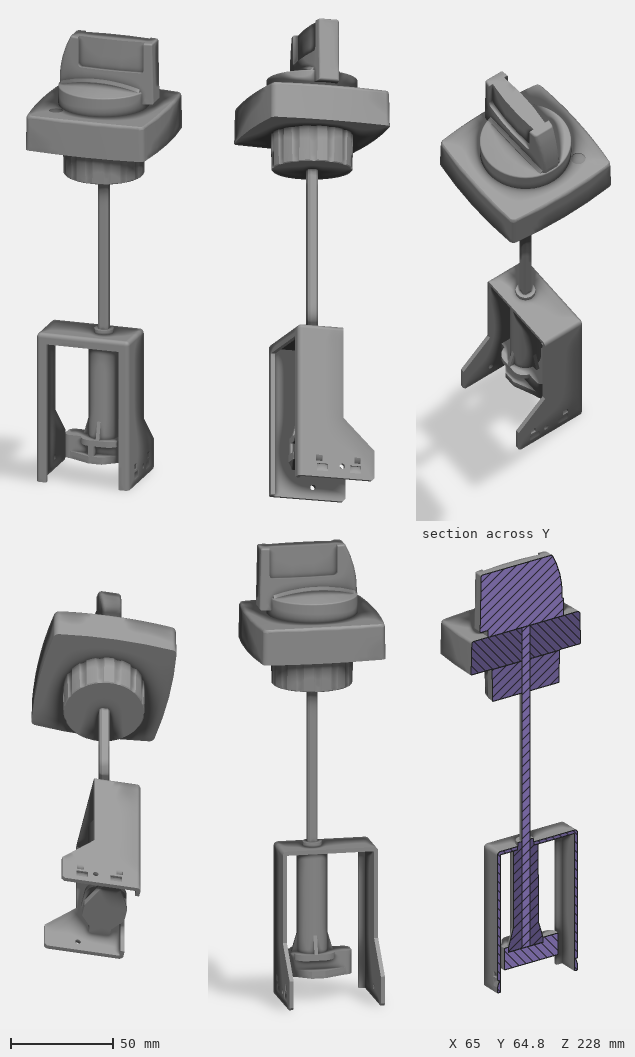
import cadquery as cq
import math

BRACKET_TOP = 76.2
PLATE_BOTTOM = 175.5
PLATE_TOP = 193.5
OVERALL_HEIGHT = 228.0

ROD_WIDTH = 5.0
ROD_CHAMFER = 1.0

SHEET = 2.0
BEND_RADIUS = 2.0
BRACKET_LEFT = -30.8
BRACKET_RIGHT = 16.9
BRACKET_FRONT = -12.5
BRACKET_BACK = 10.7
FOOT_BACK = 26.7
FOOT_TOP = 14.8
FOOT_SLOPE_TOP = 30.3
FOOT_CHAMFER = 1.4
LIP_WIDTH = 5.2
FIXING_HOLE_DIAMETER = 2.7
FIXING_HOLE_Y = 10.0
FIXING_HOLE_Z = 6.0
WIDE_CATCH = (5.7, 3.6)
WIDE_CATCH_Z = 4.8
WIDE_CATCH_DEPTH = 1.1
WIDE_CATCH_Y = (16.9, -0.2)
SMALL_CATCH = (3.2, 3.0)
SMALL_CATCH_Z = 9.3
SMALL_CATCH_DEPTH = 1.8
SMALL_CATCH_Y = (17.8, -1.8)

TUBE_RADIUS = 7.5
NECK_RADIUS = 4.8
NECK_TOP = 78.2
FLANGE_WIDTH = 20.5
FLANGE_CORNER_RADIUS = 6.4
FLANGE_BOTTOM = 20.3
FLANGE_TOP = 23.3
GUSSET_TOP = 32.4
GUSSET_THICKNESS = 1.8

LEVER_BOTTOM = 11.5
LEDGE_TOP = 15.0
LEVER_LEFT = -19.2
LEVER_RIGHT = 12.8
ARM_HALF_WIDTH = 5.2
ARM_END_RADIUS = 3.5
LEDGE_HALF_DEPTH = 10.5
LEDGE_LEFT = -15.7
LEDGE_FLAT_LEFT = -4.5
LEDGE_FLAT_RIGHT = 2.3
LEDGE_RIGHT = 9.0
STRUT_X = -3.5
STRUT_THICKNESS = 2.7

NUT_RADIUS = 20.0
NUT_BOTTOM = 158.0
NUT_DRAFT = 0.8
NUT_EDGE = 0.5
FLUTE_COUNT = 14
FLUTE_DEPTH = 0.8
FIRST_FLUTE_ANGLE = 9.4

PLATE_X = 65.0
PLATE_Y = 64.8
PLATE_BOW = 2.0
PLATE_CORNER_RADIUS = 2.7
PLATE_DRAFT_INSET = 0.35
PLATE_EDGE = 1.8
DIAL_RADIUS = 29.5
CORNER_DROP = 0.5
DOT_RADIUS = 3.5
DOT_DEPTH = 0.5
DOT_CENTRE = (-18.5, -18.5)

KNOB_RADIUS = 22.3
KNOB_SHOULDER = 203.0
DOME_RISE = 3.5
KNOB_EDGE = 0.7
GRIP_BACK = 27.1
GRIP_BACK_TOP = 26.5
GRIP_UNDERSIDE = 197.0
GRIP_NOSE = -21.7
GRIP_NOSE_BASE = 204.7
GRIP_NOSE_MIDDLE = (-19.5, 218.7)
GRIP_NOSE_TOP = -15.5
GRIP_HALF_WIDTH = 6.8
GRIP_NOSE_HALF_WIDTH = 4.5
GRIP_BACK_HALF_WIDTH = 5.0
GRIP_EDGE = 1.0
GRIP_NOSE_EDGE = 1.8
GRIP_ROOT = 1.5
ROOT_REACH = 20.5
ROOT_END_RISE = 1.5
POCKET_LEFT = -11.5
POCKET_RIGHT = 22.3
POCKET_BOTTOM = 212.7
POCKET_CORNER_RADIUS = 1.8
POCKET_END_HALF_WEB = 3.5
POCKET_MIDDLE_HALF_WEB = 4.5


def cylinder(radius, bottom, top):
    return cq.Workplane("XY").workplane(offset=bottom).circle(radius).extrude(top - bottom)


def block(x_range, y_range, z_range):
    """Box between pairs of coordinates."""
    size = [high - low for low, high in (x_range, y_range, z_range)]
    corner = (x_range[0], y_range[0], z_range[0])
    return cq.Workplane("XY").box(*size, centered=False).translate(corner)


def make_rod():
    return (
        cq.Workplane("XY")
        .workplane(offset=FLANGE_BOTTOM)
        .rect(ROD_WIDTH, ROD_WIDTH)
        .extrude(PLATE_TOP - FLANGE_BOTTOM)
        .edges("|Z")
        .chamfer(ROD_CHAMFER)
    )


def make_flange():
    """Rounded square foot of the guide tube, also the shape of its seat in the lever."""
    return (
        cq.Workplane("XY")
        .workplane(offset=FLANGE_BOTTOM)
        .rect(FLANGE_WIDTH, FLANGE_WIDTH)
        .extrude(FLANGE_TOP - FLANGE_BOTTOM)
        .edges("|Z")
        .fillet(FLANGE_CORNER_RADIUS)
    )


def ramp_recess(centre_y, centre_z, size, depth, deep_at_top):
    """Wedge that sinks into the left wall, deepest at its upper or lower edge."""
    width, height = size
    bottom = centre_z - height / 2
    top = centre_z + height / 2
    deep_z = top if deep_at_top else bottom
    return (
        cq.Workplane("XZ", origin=(0, centre_y + width / 2, 0))
        .polyline([(BRACKET_LEFT, bottom), (BRACKET_LEFT, top), (BRACKET_LEFT + depth, deep_z)])
        .close()
        .extrude(width)
    )


def make_bracket():
    side_outline = [
        (BRACKET_FRONT, 0),
        (BRACKET_FRONT, BRACKET_TOP),
        (BRACKET_BACK, BRACKET_TOP),
        (BRACKET_BACK, FOOT_SLOPE_TOP),
        (FOOT_BACK, FOOT_TOP),
        (FOOT_BACK, FOOT_CHAMFER),
        (FOOT_BACK - FOOT_CHAMFER, 0),
    ]
    width = BRACKET_RIGHT - BRACKET_LEFT
    bracket = (
        cq.Workplane("YZ", origin=(BRACKET_LEFT, 0, 0))
        .polyline(side_outline)
        .close()
        .extrude(width)
    )
    bends = bracket.faces("<Y").edges("|Z or >Z").add(bracket.faces(">Z").edges("|Y"))
    bracket = bends.fillet(BEND_RADIUS)

    inside = block(
        (BRACKET_LEFT + SHEET, BRACKET_RIGHT - SHEET),
        (BRACKET_FRONT + SHEET, FOOT_BACK),
        (0, BRACKET_TOP - SHEET),
    )
    opening = block(
        (BRACKET_LEFT + LIP_WIDTH, BRACKET_RIGHT - LIP_WIDTH),
        (BRACKET_FRONT, BRACKET_FRONT + SHEET),
        (0, BRACKET_TOP - LIP_WIDTH),
    )
    bracket = bracket.cut(inside).cut(opening)

    fixing_hole = (
        cq.Workplane("YZ", origin=(BRACKET_LEFT, FIXING_HOLE_Y, FIXING_HOLE_Z))
        .circle(FIXING_HOLE_DIAMETER / 2)
        .extrude(width)
    )
    bracket = bracket.cut(fixing_hole).cut(cylinder(NECK_RADIUS, BRACKET_TOP - SHEET, BRACKET_TOP))

    middle = ((BRACKET_LEFT + BRACKET_RIGHT) / 2, 0, 0)
    catches = [ramp_recess(y, WIDE_CATCH_Z, WIDE_CATCH, WIDE_CATCH_DEPTH, True) for y in WIDE_CATCH_Y]
    catches += [ramp_recess(y, SMALL_CATCH_Z, SMALL_CATCH, SMALL_CATCH_DEPTH, False) for y in SMALL_CATCH_Y]
    for catch in catches:
        bracket = bracket.cut(catch).cut(catch.mirror("YZ", middle))
    return bracket


def make_tube(rod):
    tube = make_flange().union(cylinder(TUBE_RADIUS, FLANGE_BOTTOM, BRACKET_TOP - SHEET))
    tube = tube.union(cylinder(NECK_RADIUS, FLANGE_BOTTOM, NECK_TOP))
    gusset = (
        cq.Workplane("XZ", origin=(0, GUSSET_THICKNESS / 2, 0))
        .polyline([(0, FLANGE_TOP), (FLANGE_WIDTH / 2, FLANGE_TOP), (TUBE_RADIUS, GUSSET_TOP), (0, GUSSET_TOP)])
        .close()
        .extrude(GUSSET_THICKNESS)
    )
    for angle in (0, 90, 180, 270):
        tube = tube.union(gusset.rotate((0, 0, 0), (0, 0, 1), angle))
    return tube.cut(rod)


def make_lever():
    arms = block(
        (LEVER_LEFT, LEVER_RIGHT),
        (-ARM_HALF_WIDTH, ARM_HALF_WIDTH),
        (LEVER_BOTTOM, FLANGE_TOP),
    )
    arms = arms.edges("|Z and <X").fillet(ARM_END_RADIUS)
    ledge = (
        cq.Workplane("XY")
        .workplane(offset=LEVER_BOTTOM)
        .polyline([
            (LEDGE_LEFT, -ARM_HALF_WIDTH),
            (LEDGE_FLAT_LEFT, -LEDGE_HALF_DEPTH),
            (LEDGE_FLAT_RIGHT, -LEDGE_HALF_DEPTH),
            (LEDGE_RIGHT, -ARM_HALF_WIDTH),
        ])
        .close()
        .extrude(LEDGE_TOP - LEVER_BOTTOM)
    )
    strut = block(
        (STRUT_X - STRUT_THICKNESS / 2, STRUT_X + STRUT_THICKNESS / 2),
        (-FLANGE_WIDTH / 2, -ARM_HALF_WIDTH),
        (LEVER_BOTTOM, FLANGE_BOTTOM),
    )
    lever = arms.union(strut).union(ledge).union(ledge.mirror("XZ"))
    return lever.cut(make_flange())


def make_nut(rod):
    height = PLATE_BOTTOM - NUT_BOTTOM
    nut = cq.Workplane("XY").workplane(offset=PLATE_BOTTOM).circle(NUT_RADIUS).extrude(-height, taper=NUT_DRAFT)
    nut = nut.faces("<Z").edges().chamfer(NUT_EDGE)

    half_chord = NUT_RADIUS * math.sin(math.pi / (2 * FLUTE_COUNT))
    flute_radius = (half_chord**2 + FLUTE_DEPTH**2) / (2 * FLUTE_DEPTH)
    flutes = (
        cq.Workplane("XY")
        .workplane(offset=NUT_BOTTOM)
        .polarArray(NUT_RADIUS - FLUTE_DEPTH + flute_radius, FIRST_FLUTE_ANGLE, 360, FLUTE_COUNT)
        .circle(flute_radius)
        .extrude(height)
    )
    return nut.cut(flutes).cut(rod)


def bowed_square(inset):
    """Plate outline with arced sides and round corners, drawn in by the given amount."""
    mid_x = PLATE_X / 2 - inset
    mid_y = PLATE_Y / 2 - inset
    corner_x = mid_x - PLATE_BOW
    corner_y = mid_y - PLATE_BOW
    return (
        cq.Sketch()
        .arc((-corner_x, -corner_y), (0, -mid_y), (corner_x, -corner_y))
        .arc((corner_x, -corner_y), (mid_x, 0), (corner_x, corner_y))
        .arc((corner_x, corner_y), (0, mid_y), (-corner_x, corner_y))
        .arc((-corner_x, corner_y), (-mid_x, 0), (-corner_x, -corner_y))
        .assemble()
        .vertices()
        .fillet(PLATE_CORNER_RADIUS)
    )


def make_plate(rod):
    top_outline = bowed_square(PLATE_DRAFT_INSET).moved(cq.Location(cq.Vector(0, 0, PLATE_TOP - PLATE_BOTTOM)))
    plate = (
        cq.Workplane("XY")
        .workplane(offset=PLATE_BOTTOM)
        .placeSketch(bowed_square(0), top_outline)
        .loft()
    )
    plate = plate.faces(">Z").edges().fillet(PLATE_EDGE)

    reach = math.hypot(PLATE_X, PLATE_Y) / 2
    envelope = (
        cq.Workplane("XZ")
        .polyline([
            (0, PLATE_BOTTOM),
            (reach, PLATE_BOTTOM),
            (reach, PLATE_TOP - CORNER_DROP),
            (DIAL_RADIUS, PLATE_TOP),
            (0, PLATE_TOP),
        ])
        .close()
        .revolve(360, (0, 0, 0), (0, 1, 0))
    )
    dot = cylinder(DOT_RADIUS, PLATE_TOP - DOT_DEPTH, PLATE_TOP).translate((*DOT_CENTRE, 0))
    return plate.intersect(envelope).cut(dot).cut(rod)


def make_knob_base():
    return (
        cq.Workplane("XZ")
        .moveTo(0, PLATE_TOP)
        .lineTo(KNOB_RADIUS, PLATE_TOP)
        .lineTo(KNOB_RADIUS, KNOB_SHOULDER)
        .threePointArc((KNOB_RADIUS / 2, KNOB_SHOULDER + 0.75 * DOME_RISE), (0, KNOB_SHOULDER + DOME_RISE))
        .close()
        .revolve(360, (0, 0, 0), (0, 1, 0))
        .edges(cq.NearestToPointSelector((0, 0, KNOB_SHOULDER)))
        .fillet(KNOB_EDGE)
    )


def grip_plan(widening, top):
    """Upright prism with the bowed plan of the grip, widened on each flank."""
    nose_y = GRIP_NOSE_HALF_WIDTH + widening
    middle_y = GRIP_HALF_WIDTH + widening
    back_y = GRIP_BACK_HALF_WIDTH + widening
    return (
        cq.Workplane("XY")
        .workplane(offset=GRIP_UNDERSIDE)
        .moveTo(GRIP_NOSE, -nose_y)
        .threePointArc((0, -middle_y), (GRIP_BACK, -back_y))
        .lineTo(GRIP_BACK, back_y)
        .threePointArc((0, middle_y), (GRIP_NOSE, nose_y))
        .close()
        .extrude(top - GRIP_UNDERSIDE)
    )


def make_grip():
    side = (
        cq.Workplane("XZ", origin=(0, 2 * GRIP_HALF_WIDTH, 0))
        .moveTo(GRIP_NOSE, GRIP_UNDERSIDE)
        .lineTo(GRIP_NOSE, GRIP_NOSE_BASE)
        .threePointArc(GRIP_NOSE_MIDDLE, (GRIP_NOSE_TOP, OVERALL_HEIGHT))
        .lineTo(GRIP_BACK_TOP, OVERALL_HEIGHT)
        .lineTo(GRIP_BACK, GRIP_UNDERSIDE)
        .close()
        .extrude(4 * GRIP_HALF_WIDTH)
    )
    plan = grip_plan(0, OVERALL_HEIGHT)
    grip = side.intersect(plan)
    nose_region = cq.selectors.BoxSelector(
        (GRIP_NOSE - 2.3, -GRIP_HALF_WIDTH, GRIP_UNDERSIDE),
        (GRIP_NOSE_TOP, GRIP_HALF_WIDTH, OVERALL_HEIGHT),
    )
    grip = grip.edges(nose_region).edges("not |Y").fillet(GRIP_NOSE_EDGE)
    return grip.faces(">X or >Z").edges().fillet(GRIP_EDGE)


def make_grip_pocket():
    """Finger pocket on the front flank, with a gently bowed floor."""
    outline = (
        cq.Workplane("XY")
        .workplane(offset=POCKET_BOTTOM)
        .moveTo(POCKET_LEFT, -POCKET_END_HALF_WEB)
        .threePointArc(
            ((POCKET_LEFT + POCKET_RIGHT) / 2, -POCKET_MIDDLE_HALF_WEB),
            (POCKET_RIGHT, -POCKET_END_HALF_WEB),
        )
        .lineTo(POCKET_RIGHT, -2 * GRIP_HALF_WIDTH)
        .lineTo(POCKET_LEFT, -2 * GRIP_HALF_WIDTH)
        .close()
    )
    pocket = outline.extrude(OVERALL_HEIGHT - POCKET_BOTTOM)
    return pocket.edges("|Y and <Z").fillet(POCKET_CORNER_RADIUS)


def make_grip_root():
    """Bevel that arches along both flanks of the grip, just above the dome."""
    half_width = GRIP_HALF_WIDTH + GRIP_ROOT
    end_z = KNOB_SHOULDER + ROOT_END_RISE
    arch = (
        cq.Workplane("XZ", origin=(0, half_width, 0))
        .moveTo(-ROOT_REACH, GRIP_UNDERSIDE)
        .lineTo(-ROOT_REACH, end_z)
        .threePointArc((0, KNOB_SHOULDER + DOME_RISE + GRIP_ROOT), (ROOT_REACH, end_z))
        .lineTo(ROOT_REACH, GRIP_UNDERSIDE)
        .close()
        .extrude(2 * half_width)
    )
    root = arch.intersect(grip_plan(GRIP_ROOT - 0.02, OVERALL_HEIGHT))
    flank_tops = cq.selectors.BoxSelector(
        (-KNOB_RADIUS / 2, -half_width, KNOB_SHOULDER),
        (KNOB_RADIUS / 2, half_width, OVERALL_HEIGHT),
    )
    return root.edges(flank_tops).chamfer(0.9 * GRIP_ROOT)


def make_knob():
    knob = make_knob_base().union(make_grip()).union(make_grip_root())
    pocket = make_grip_pocket()
    return knob.cut(pocket).cut(pocket.mirror("XZ"))


rod = make_rod()
bracket = make_bracket()
tube = make_tube(rod)
lever = make_lever()
nut = make_nut(rod)
plate = make_plate(rod)
knob = make_knob()

result = cq.Compound.makeCompound([
    rod.val(),
    bracket.val(),
    tube.val(),
    lever.val(),
    nut.val(),
    plate.val(),
    knob.val(),
])